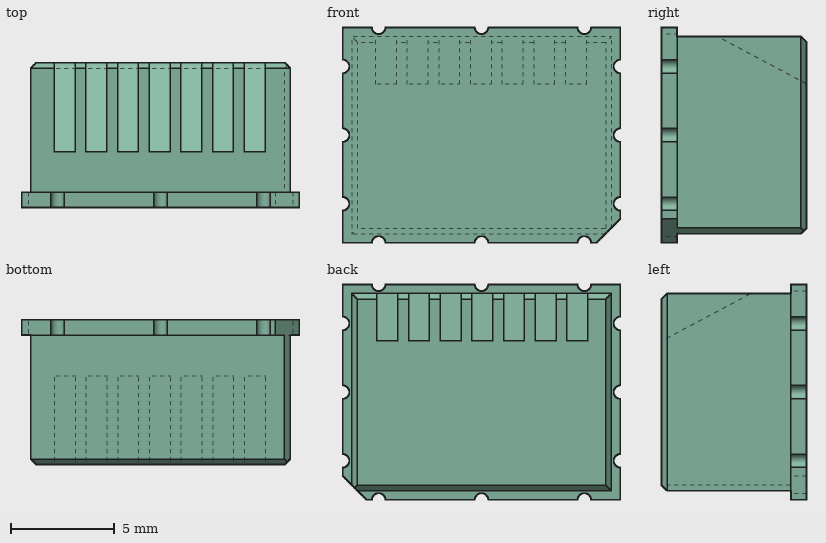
import cadquery as cq

length = 13.4
height = 10.4
depth = 7.0
flange_thickness = 0.75
corner_cut = 1.17

notch_radius = 0.32
notch_pitch_x = 4.96
notch_pitch_z = 3.31

body_inset = 0.44
back_chamfer = 0.27

slot_count = 7
slot_width = 1.0
slot_pitch = 1.53
slot_run = 4.29
slot_drop = 2.28
slot_shift = -0.04

body_length = length - 2 * body_inset
body_height = height - 2 * body_inset
body_depth = depth - flange_thickness
body_top = body_height / 2


def make_notches():
    """Rods through the flange, three along each of its four sides."""
    centres = []
    for step in (-1, 0, 1):
        for side in (-1, 1):
            centres.append((step * notch_pitch_x, side * height / 2))
            centres.append((side * length / 2, step * notch_pitch_z))
    rods = cq.Workplane("XZ").pushPoints(centres).circle(notch_radius)
    return rods.extrude(-flange_thickness)


def make_flange():
    """Flat plate with half-round notches around its rim."""
    plate = cq.Workplane("XY").box(length, flange_thickness, height, centered=(True, False, True))
    return plate.cut(make_notches())


def make_body():
    """Block behind the flange, chamfered around its back face."""
    block = cq.Workplane("XY").box(body_length, body_depth, body_height, centered=(True, False, True))
    return block.faces(">Y").edges().chamfer(back_chamfer).translate((0, flange_thickness, 0))


def make_slot(centre_x):
    """Wedge that deepens from the top of the body towards its back face."""
    profile = [(depth - slot_run, body_top), (depth, body_top), (depth, body_top - slot_drop)]
    wedge = cq.Workplane("YZ").polyline(profile).close().extrude(slot_width / 2, both=True)
    return wedge.translate((centre_x, 0, 0))


def make_corner():
    """Triangular prism that takes one lower corner off the flange and the body behind it."""
    right = length / 2
    bottom = -height / 2
    triangle = [(right, bottom), (right - corner_cut, bottom), (right, bottom + corner_cut)]
    return cq.Workplane("XZ").polyline(triangle).close().extrude(-depth)


result = make_flange().union(make_body()).cut(make_corner())
for index in range(slot_count):
    slot_x = slot_shift + (index - (slot_count - 1) / 2) * slot_pitch
    result = result.cut(make_slot(slot_x))